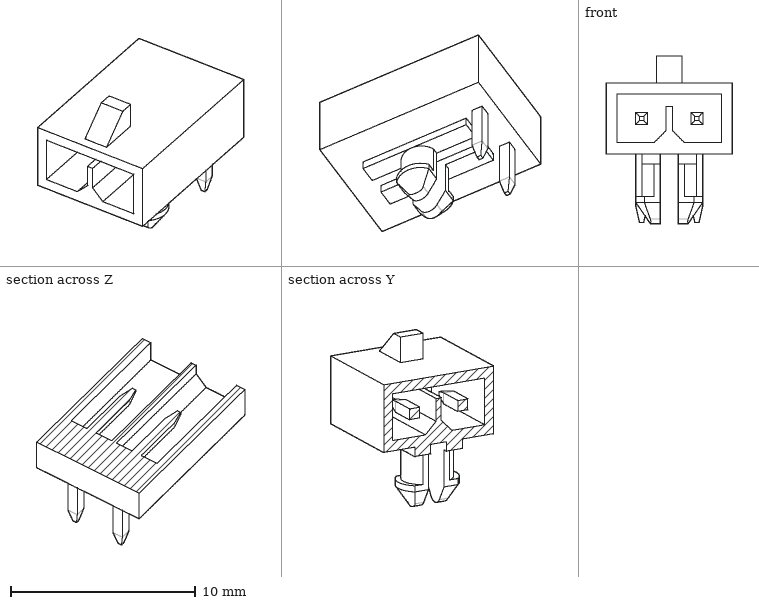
import cadquery as cq

body_width = 6.85
body_length = 9.91
body_height = 3.87

cavity_width = 5.7
cavity_height = 2.64
cavity_depth = 7.43
cavity_floor = (body_height - cavity_height) / 2
rib_half_width = 0.17
rib_height = 1.96
rib_foot_half_width = 0.83
rib_foot_height = rib_foot_half_width - rib_half_width

latch_width = 1.41
latch_height = 1.46
latch_ramp_start = 0.555
latch_ramp_end = 2.15
latch_back = 2.91

pin_size = 0.63
pin_tip_size = 0.24
pin_tip_length = 0.87
pin_pitch = 3.0
pin_mating_start = 3.47
pin_tail_y = 8.91
pin_tail_length = 3.72

leg_gap = 0.96
leg_inner_x = leg_gap / 2
rail_outer_x = 1.49
rail_front = 1.61
rail_back = 8.05
rail_height = 0.54

peg_y = 4.62
peg_half_depth = 1.01
peg_length = 3.79
shank_flat_x = 0.83
head_radius = 1.33
head_tip_radius = 0.55
head_top = 2.29
head_taper_start = 2.64
nose_half_depth = 0.49
nose_height = 0.28


def make_housing():
    housing = cq.Workplane("XY").box(
        body_width, body_length, body_height, centered=(True, False, False)
    )
    cavity = cq.Workplane("XY").box(
        cavity_width, cavity_depth, cavity_height, centered=(True, False, False)
    ).translate((0, 0, cavity_floor))
    foot_top = cavity_floor + rib_foot_height
    rib_top = cavity_floor + rib_height
    rib = (
        cq.Workplane("XZ")
        .polyline([
            (-rib_foot_half_width, cavity_floor),
            (-rib_half_width, foot_top),
            (-rib_half_width, rib_top),
            (rib_half_width, rib_top),
            (rib_half_width, foot_top),
            (rib_foot_half_width, cavity_floor),
        ])
        .close()
        .extrude(-cavity_depth)
    )
    return housing.cut(cavity).union(rib)


def make_latch():
    latch_top = body_height + latch_height
    return (
        cq.Workplane("YZ")
        .polyline([
            (latch_ramp_start, body_height),
            (latch_ramp_end, latch_top),
            (latch_back, latch_top),
            (latch_back, body_height),
        ])
        .close()
        .extrude(latch_width / 2, both=True)
    )


def make_pin(base, length, direction):
    """Square pin of the given total length, ending in a pyramid tip."""
    plane = cq.Plane(origin=base, xDir=(1, 0, 0), normal=direction)
    shaft_length = length - pin_tip_length
    shaft = cq.Workplane(plane).rect(pin_size, pin_size).extrude(shaft_length)
    point = (
        cq.Workplane(plane)
        .workplane(offset=shaft_length)
        .rect(pin_size, pin_size)
        .workplane(offset=pin_tip_length)
        .rect(pin_tip_size, pin_tip_size)
        .loft()
    )
    return shaft.union(point)


def make_rail():
    return cq.Workplane("XY").box(
        rail_outer_x - leg_inner_x, rail_back - rail_front, rail_height, centered=False
    ).translate((leg_inner_x, rail_front, -rail_height))


def make_peg():
    near_y = peg_y - peg_half_depth
    far_y = peg_y + peg_half_depth
    shank = (
        cq.Workplane("XY")
        .moveTo(leg_inner_x, near_y)
        .lineTo(shank_flat_x, near_y)
        .threePointArc((rail_outer_x, peg_y), (shank_flat_x, far_y))
        .lineTo(leg_inner_x, far_y)
        .close()
        .extrude(-head_taper_start)
    )
    head = (
        cq.Workplane("XZ", origin=(leg_inner_x, peg_y, 0))
        .polyline([
            (0, -head_top),
            (head_radius, -head_top),
            (head_radius, -head_taper_start),
            (head_tip_radius, -peg_length),
            (0, -peg_length),
        ])
        .close()
        .revolve(360, (0, 0), (0, 1))
    )
    nose_top = nose_height - peg_length
    side_outline = (
        cq.Workplane("YZ", origin=(leg_inner_x, 0, 0))
        .moveTo(near_y, 0)
        .lineTo(near_y, -head_taper_start)
        .lineTo(peg_y - nose_half_depth, nose_top)
        .threePointArc((peg_y, -peg_length), (peg_y + nose_half_depth, nose_top))
        .lineTo(far_y, -head_taper_start)
        .lineTo(far_y, 0)
        .close()
        .extrude(head_radius)
    )
    return shank.union(head.intersect(side_outline))


result = make_housing().union(make_latch())

for pin_x in (-pin_pitch / 2, pin_pitch / 2):
    bend = (pin_x, pin_tail_y, body_height / 2)
    mating_pin = make_pin(bend, pin_tail_y - pin_mating_start, (0, -1, 0))
    tail = make_pin(bend, body_height / 2 + pin_tail_length, (0, 0, -1))
    result = result.union(mating_pin).union(tail)

leg = make_rail().union(make_peg())
result = result.union(leg).union(leg.mirror("YZ"))